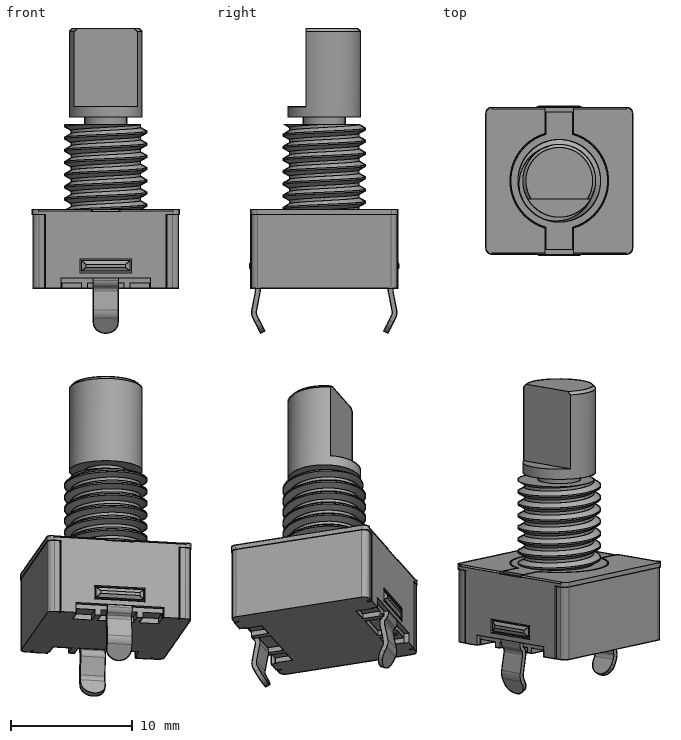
import cadquery as cq
import math


body_side = 12.0
cap_side = 12.1
corner_radius = 0.5
housing_height = 6.5
sheet = 0.4
cap_bottom = housing_height - sheet
cap_chamfer = 0.13
plate_face = cap_side / 2
sheet_back = plate_face - sheet

plate_width = 9.9
plate_gap = 0.1
window_width = 4.22
window_bottom = 1.25
window_top = 2.4
notch_width = 7.38
notch_height = 0.85

latch_width = 4.0
latch_bottom = 1.43
latch_top = 2.28
latch_tip_face = 6.15
latch_tip_width = 3.26
latch_tip_height = 0.25

pocket_height = 0.45
pocket_depth = 1.5
pocket_end = 3.6
foot_inner = 1.5
foot_outer = 2.0

seat_radius = 4.07
seat_slot_width = 2.35
seat_depth = 0.18
seat_gap = 0.088
key_end = 5.67

thread_diameter = 6.8
root_diameter = 5.72
thread_pitch = 1.0
thread_top = 13.5
crest_width = 0.13
flank_angle = math.radians(30)
crest_height_on_x = 6.85

shaft_diameter = 6.0
shaft_top = 21.4
shaft_bottom = 14.1
shaft_chamfer = 0.25
neck_diameter = 3.5
flat_offset = 1.5
flat_bottom = 14.95

leg_width = 2.05
leg_setback = 0.03
leg_middle = plate_face - leg_setback - sheet / 2
leg_path = [(leg_middle, notch_height), (leg_middle, 0.48), (5.42, -0.03), (5.82, -2.08), (5.07, -3.6)]
bend_radii = [0.53, 0.53, 0.88]
tip_radius = 1.0

OVERLAP = 0.05


def block(x_size, y_min, y_max, z_min, z_max, x_middle=0.0):
    """Box centred on x_middle, given by its Y and Z limits."""
    box = cq.Workplane("XY").box(x_size, y_max - y_min, z_max - z_min, centered=(True, False, False))
    return box.translate((x_middle, y_min, z_min))


def cylinder(diameter, z_min, z_max):
    return cq.Workplane("XY").workplane(offset=z_min).circle(diameter / 2).extrude(z_max - z_min)


def both_sides(front):
    """The given -Y feature together with its mirror image on +Y."""
    return front.union(front.mirror("XZ"))


def make_housing():
    body = cq.Workplane("XY").rect(body_side, body_side).extrude(cap_bottom)
    body = body.edges("|Z").fillet(corner_radius)
    cap = cq.Workplane("XY").workplane(offset=cap_bottom).rect(cap_side, cap_side).extrude(sheet)
    cap = cap.edges("|Z").fillet(corner_radius)
    return body.union(cap).cut(both_sides(make_cap_bevel()))


def make_cap_bevel():
    """Wedge that bevels the straight stretch of one upper cap edge."""
    straight_length = cap_side - 2 * corner_radius
    edge_y = -cap_side / 2
    wedge = cq.Workplane("YZ").polyline([
        (edge_y, housing_height - cap_chamfer),
        (edge_y, housing_height),
        (edge_y + cap_chamfer, housing_height),
    ])
    return wedge.close().extrude(straight_length / 2, both=True)


def make_plate():
    """Side plate with its latch window and its notch, open towards the underside."""
    plate = block(plate_width, -plate_face, -sheet_back, 0, cap_bottom)
    plate = plate.cut(block(window_width, -plate_face, -sheet_back, window_bottom, window_top))
    return plate.cut(block(notch_width, -plate_face, -sheet_back, 0, notch_height))


def make_plate_recess():
    """Room in the housing for the plate, with a narrow gap along its upright edges."""
    return block(plate_width + 2 * plate_gap, -plate_face, -sheet_back, 0, cap_bottom)


def make_latch():
    latch_height = latch_top - latch_bottom
    latch_middle = (latch_top + latch_bottom) / 2
    plinth = block(latch_width, -body_side / 2, -sheet_back + OVERLAP, latch_bottom, latch_top)
    wedge = (
        cq.Workplane("XZ", origin=(0, -body_side / 2, latch_middle))
        .rect(latch_width, latch_height)
        .workplane(offset=latch_tip_face - body_side / 2)
        .rect(latch_tip_width, latch_tip_height)
        .loft(ruled=True)
    )
    return plinth.union(wedge)


def make_pockets():
    """Three shallow pockets, leaving two feet between them."""
    pocket_back = pocket_depth - sheet_back
    side_width = pocket_end - foot_outer
    side_middle = (pocket_end + foot_outer) / 2
    pockets = block(2 * foot_inner, -sheet_back, pocket_back, 0, pocket_height)
    for x_middle in (-side_middle, side_middle):
        pockets = pockets.union(block(side_width, -sheet_back, pocket_back, 0, pocket_height, x_middle))
    return pockets


def keyed_disc(radius, slot_width, slot_end):
    """Disc with two opposite keys along Y, filling the seat depth."""
    seat_floor = housing_height - seat_depth
    disc = cylinder(2 * radius, seat_floor, housing_height)
    return disc.union(block(slot_width, -slot_end, slot_end, seat_floor, housing_height))


def leg_headings():
    """Direction of each straight run of the leg, from the top down."""
    return [math.atan2(b[1] - a[1], b[0] - a[0]) for a, b in zip(leg_path, leg_path[1:])]


def turns_left(bend):
    """True where the leg bends towards the left-hand face of its path."""
    headings = leg_headings()
    return headings[bend] > headings[bend - 1]


def leg_outline():
    """Corner points on both faces of the leg, mitred at each bend."""
    headings = leg_headings()
    left, right = [], []
    for i, (y, z) in enumerate(leg_path):
        before = headings[max(i - 1, 0)]
        after = headings[min(i, len(headings) - 1)]
        normal = (before + after) / 2 + math.pi / 2
        reach = sheet / 2 / math.cos((after - before) / 2)
        dy = reach * math.cos(normal)
        dz = reach * math.sin(normal)
        left.append((y + dy, z + dz))
        right.append((y - dy, z - dz))
    return left, right


def round_bend(leg, corner, radius):
    """Round the leg edge that runs along X through the given (distance, Z) corner."""
    y, z = corner
    return leg.edges(cq.selectors.NearestToPointSelector((0, -y, z))).fillet(radius)


def make_leg():
    left, right = leg_outline()
    outline = [(-y, z) for y, z in left + right[::-1]]
    leg = cq.Workplane("YZ").polyline(outline).close().extrude(leg_width / 2, both=True)
    for i, middle_radius in enumerate(bend_radii, start=1):
        left_step = -sheet / 2 if turns_left(i) else sheet / 2
        leg = round_bend(leg, left[i], middle_radius + left_step)
        leg = round_bend(leg, right[i], middle_radius - left_step)
    tip_y, tip_z = leg_path[-1]
    for x in (-leg_width / 2, leg_width / 2):
        leg = leg.edges(cq.selectors.NearestToPointSelector((x, -tip_y, tip_z))).fillet(tip_radius)
    return leg


def make_thread():
    """Threaded bushing: a right-hand trapezoidal ridge wound on the root cylinder."""
    crest_radius = thread_diameter / 2
    ridge_root = root_diameter / 2 - OVERLAP
    spare_turns = 2
    crest_half = crest_width / 2
    root_half = crest_half + (crest_radius - ridge_root) * math.tan(flank_angle)
    start = crest_height_on_x - spare_turns * thread_pitch
    length = thread_top + spare_turns * thread_pitch - start
    ridge = (
        cq.Workplane("XZ")
        .polyline([
            (ridge_root, -root_half),
            (crest_radius, -crest_half),
            (crest_radius, crest_half),
            (ridge_root, root_half),
        ])
        .close()
        .sweep(cq.Workplane(cq.Wire.makeHelix(thread_pitch, length, root_diameter / 2)), isFrenet=True)
        .translate((0, 0, start))
    )
    bushing_bottom = housing_height - OVERLAP
    ridge = ridge.intersect(cylinder(2 * thread_diameter, bushing_bottom, thread_top))
    return cylinder(root_diameter, bushing_bottom, thread_top).union(ridge)


def make_shaft():
    shaft = cylinder(shaft_diameter, shaft_bottom, shaft_top).faces(">Z").chamfer(shaft_chamfer)
    shaft = shaft.cut(block(shaft_diameter, -shaft_diameter, -flat_offset, flat_bottom, shaft_top))
    return shaft.union(cylinder(neck_diameter, thread_top - OVERLAP, shaft_bottom))


seat_insert = keyed_disc(seat_radius - seat_gap, seat_slot_width - 2 * seat_gap, key_end)

result = (
    make_housing()
    .cut(both_sides(make_plate_recess()))
    .union(both_sides(make_plate()))
    .union(both_sides(make_latch()))
    .cut(both_sides(make_pockets()))
    .cut(keyed_disc(seat_radius, seat_slot_width, plate_face))
    .union(seat_insert)
    .union(both_sides(make_leg()))
    .union(make_thread())
    .union(make_shaft())
)